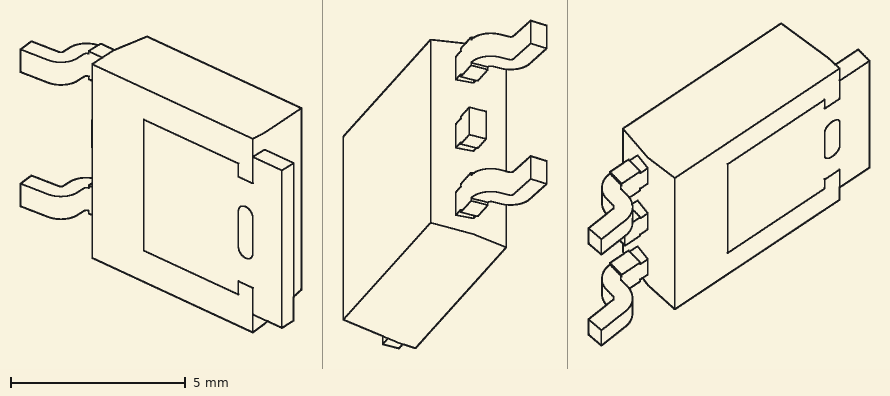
import cadquery as cq
import math

housing_depth = 2.39
front_height = 6.58
back_height = 6.16
front_left_x = -2.21
parting_left_x = -2.32
back_left_x = -2.19
front_right_x = 3.855
back_right_x = 3.64

tab_thickness = 0.52
tab_end_x = 4.955
tab_end_height = 5.35
neck_left_x = 3.31
neck_height = 3.55
pad_left_x = -0.27
pad_height = 4.45
slot_width = front_right_x - neck_left_x
slot_height = 1.74
slot_center_x = (front_right_x + neck_left_x) / 2

lead_thickness = 0.54
lead_under_y = 1.09
lead_top_y = lead_under_y + lead_thickness
lead_pitch = 2.28
collar_right_x = -2.6

outer_lead_height = 0.77
outer_collar_height = 0.95
lead_tip_x = -4.955
leg_right_x = -3.37
leg_left_x = leg_right_x - lead_thickness
bend_inner_radius = 0.09
bend_outer_radius = bend_inner_radius + lead_thickness
foot_tilt = math.radians(5)
outer_collar_left_x = leg_left_x + bend_outer_radius

center_lead_height = 0.8
center_collar_height = 0.92
center_lead_left_x = -3.16


def extrude_along_z(outline, height):
    """Extrude an XY outline by the given height, centered on its plane."""
    return outline.extrude(height / 2, both=True)


def box_between(left_x, right_x, front_y, back_y, height):
    """Make a block between X and Y limits, centered on Z = 0."""
    length = right_x - left_x
    depth = back_y - front_y
    block = cq.Workplane("XY").box(length, depth, height)
    return block.translate(((left_x + right_x) / 2, (front_y + back_y) / 2, 0))


def make_tab():
    pad = box_between(pad_left_x, neck_left_x, 0, tab_thickness, pad_height)
    neck = box_between(neck_left_x, front_right_x, 0, tab_thickness, neck_height)
    exposed_end = box_between(front_right_x, tab_end_x, 0, tab_thickness, tab_end_height)
    slot = (
        cq.Workplane("XZ")
        .center(slot_center_x, 0)
        .slot2D(slot_height, slot_width, 90)
        .extrude(-tab_thickness)
    )
    return pad.union(neck).union(exposed_end).cut(slot)


def make_housing(tab):
    side_outline = cq.Workplane("XY").polyline([
        (front_left_x, 0),
        (front_right_x, 0),
        (front_right_x, tab_thickness),
        (back_right_x, housing_depth),
        (back_left_x, housing_depth),
        (parting_left_x, lead_under_y),
    ]).close()
    end_outline = cq.Workplane("YZ").polyline([
        (0, -front_height / 2),
        (housing_depth, -back_height / 2),
        (housing_depth, back_height / 2),
        (0, front_height / 2),
    ]).close()
    body = extrude_along_z(side_outline, front_height)
    tapered_envelope = end_outline.extrude(tab_end_x, both=True)
    return body.intersect(tapered_envelope).cut(tab)


def wall_x_at_lead_top():
    """X of the sloped housing wall level with the back face of the leads."""
    fraction = lead_thickness / (housing_depth - lead_under_y)
    return parting_left_x + fraction * (back_left_x - parting_left_x)


def make_straight_lead(left_x, root_height, collar_height):
    """Make a flat lead with a wider collar, its root matching the sloped wall."""
    root_outline = cq.Workplane("XY").polyline([
        (left_x, lead_under_y),
        (parting_left_x, lead_under_y),
        (wall_x_at_lead_top(), lead_top_y),
        (left_x, lead_top_y),
    ]).close()
    collar = box_between(left_x, collar_right_x, lead_under_y, lead_top_y, collar_height)
    return extrude_along_z(root_outline, root_height).union(collar)


def make_bent_section():
    """Make the two bends, the leg and the tilted foot of an outer lead."""
    upper_y = lead_top_y - bend_outer_radius
    lower_x = leg_right_x - bend_outer_radius
    tip_under_x = lead_tip_x + lead_thickness * math.sin(foot_tilt)
    tip_top_y = lead_thickness * math.cos(foot_tilt)
    under_tangent_x = lower_x + bend_outer_radius * math.sin(foot_tilt)
    under_tangent_y = (under_tangent_x - tip_under_x) * math.tan(foot_tilt)
    lower_y = under_tangent_y + bend_outer_radius * math.cos(foot_tilt)

    def upper_point(radius, angle):
        return (outer_collar_left_x + radius * math.cos(angle), upper_y + radius * math.sin(angle))

    def lower_point(radius, angle):
        return (lower_x + radius * math.cos(angle), lower_y + radius * math.sin(angle))

    upper_start = math.pi / 2
    upper_middle = 3 * math.pi / 4
    upper_end = math.pi
    lower_end = foot_tilt - math.pi / 2
    lower_middle = lower_end / 2

    outline = (
        cq.Workplane("XY")
        .moveTo(outer_collar_left_x, lead_top_y)
        .threePointArc(
            upper_point(bend_outer_radius, upper_middle),
            upper_point(bend_outer_radius, upper_end),
        )
        .lineTo(*lower_point(bend_inner_radius, 0))
        .threePointArc(
            lower_point(bend_inner_radius, lower_middle),
            lower_point(bend_inner_radius, lower_end),
        )
        .lineTo(lead_tip_x, tip_top_y)
        .lineTo(tip_under_x, 0)
        .lineTo(under_tangent_x, under_tangent_y)
        .threePointArc(
            lower_point(bend_outer_radius, lower_middle),
            lower_point(bend_outer_radius, 0),
        )
        .lineTo(*upper_point(bend_inner_radius, upper_end))
        .threePointArc(
            upper_point(bend_inner_radius, upper_middle),
            upper_point(bend_inner_radius, upper_start),
        )
        .close()
    )
    return extrude_along_z(outline, outer_lead_height)


def make_outer_lead(center_z):
    straight = make_straight_lead(outer_collar_left_x, outer_lead_height, outer_collar_height)
    return straight.union(make_bent_section()).translate((0, 0, center_z))


tab = make_tab()
housing = make_housing(tab)
center_lead = make_straight_lead(center_lead_left_x, center_lead_height, center_collar_height)
outer_leads = [make_outer_lead(side * lead_pitch) for side in (-1, 1)]

result = cq.Compound.makeCompound([
    housing.solids().val(),
    tab.solids().val(),
    center_lead.solids().val(),
    *[lead.solids().val() for lead in outer_leads],
])